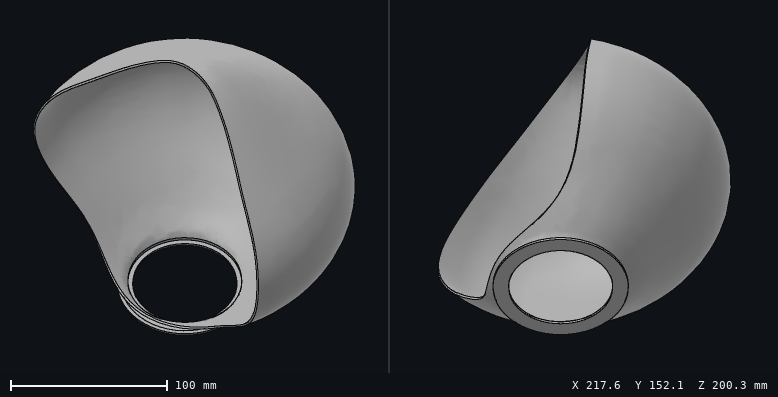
import cadquery as cq
import math

ring_diameter = 86.5
ring_hole_diameter = 66.5
ring_thickness = 1.7

wall = 1.3
neck_radius = 37.7
neck_height = 4.0
belly_radius = 108.8
belly_height = 95.8
apex_height = 200.7
foot_flare = 3.0
foot_radius = neck_radius + foot_flare
foot_arc_fraction = 0.3
foot_arc_middle = (
    neck_radius + foot_arc_fraction * foot_flare,
    ring_thickness + foot_arc_fraction * (neck_height - ring_thickness),
)

opening_yaw = 3.0
cut_half_length = 130.6
cut_front = -130.6

outer_meridian = [
    (neck_radius, neck_height),
    (38.5, 5.5),
    (44.0, 10.0),
    (68.5, 31.8),
    (93.2, 57.0),
    (106.0, 79.2),
    (belly_radius, belly_height),
    (106.0, 110.8),
    (93.8, 131.7),
    (72.7, 152.8),
    (49.9, 173.7),
    (30.5, 189.5),
    (16.3, 198.0),
    (0, apex_height),
]

opening_profile = [
    (-44.6, 9.1),
    (-41.8, 10.0),
    (-33.5, 15.7),
    (-29.0, 23.5),
    (-27.5, 36.8),
    (-30.5, 52.5),
    (-34.5, 73.4),
    (-35.0, 94.5),
    (-32.5, 110.2),
    (-25.5, 131.0),
    (-16.3, 152.2),
    (-5.7, 173.0),
    (7.8, 199.5),
    (12.0, 206.8),
]


def make_ring():
    """Flat washer under the shade."""
    return (
        cq.Workplane("XY")
        .circle(ring_diameter / 2)
        .circle(ring_hole_diameter / 2)
        .extrude(ring_thickness)
    )


def inset_meridian():
    """Outer meridian moved one wall thickness inward along its normals."""
    last = len(outer_meridian) - 1
    inset = []
    for i, (radius, height) in enumerate(outer_meridian):
        before = outer_meridian[max(i - 1, 0)]
        after = outer_meridian[min(i + 1, last)]
        run = after[0] - before[0]
        rise = after[1] - before[1]
        length = math.hypot(run, rise)
        inset.append((radius - wall * rise / length, height + wall * run / length))
    inset[0] = (neck_radius - wall, neck_height)
    inset[last] = (0, apex_height - wall)
    return inset


def make_bulb():
    """Thin-walled bulb of revolution with a foot that flares out onto the ring."""
    inner_meridian = inset_meridian()
    half_section = (
        cq.Workplane("XZ")
        .moveTo(neck_radius - wall, ring_thickness)
        .lineTo(foot_radius, ring_thickness)
        .threePointArc(foot_arc_middle, outer_meridian[0])
        .spline(outer_meridian[1:], includeCurrent=True)
        .lineTo(*inner_meridian[-1])
        .spline(inner_meridian[-2::-1], includeCurrent=True)
        .close()
    )
    return half_section.revolve(360, (0, 0, 0), (0, 1, 0))


def make_opening_cutter():
    """Prism in front of the curved opening edge, turned about the shade axis."""
    return (
        cq.Workplane("YZ")
        .moveTo(cut_front, opening_profile[0][1])
        .lineTo(*opening_profile[0])
        .spline(opening_profile[1:], includeCurrent=True)
        .lineTo(cut_front, opening_profile[-1][1])
        .close()
        .extrude(cut_half_length, both=True)
        .rotate((0, 0, 0), (0, 0, 1), opening_yaw)
    )


def make_shade():
    """Bulb with its front opened by the curved cut."""
    return make_bulb().cut(make_opening_cutter())


ring = make_ring()
shade = make_shade()
result = cq.Compound.makeCompound([ring.val(), *shade.vals()])